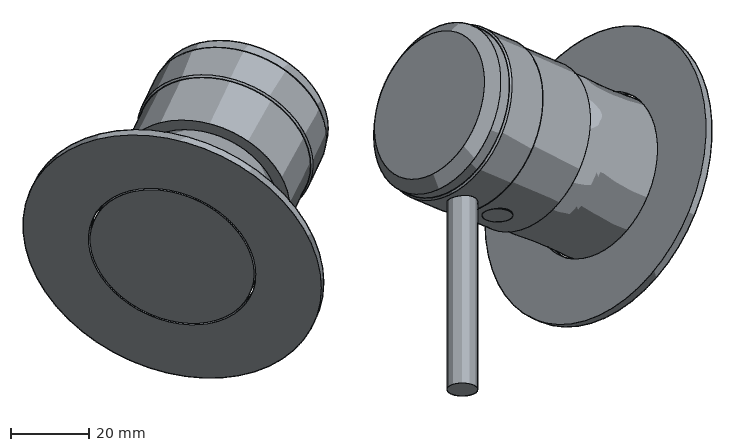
import cadquery as cq


plate_radius = 40.0
plate_thickness = 2.2
plate_hole_radius = 22.4

neck_end_radius = 22.0
waist_radius = 21.6
band_start = 19.3
band_end = 20.3
neck_top_radius = 19.9
dome_mid_radius = 21.3
dome_mid_y = 23.8

head_radius = 23.0
head_start = 27.0
head_end = 62.1
head_chamfer_length = 2.8
head_chamfer_depth = 3.1

collar_radius = 23.6
collar_start = 44.2
collar_end = 56.3
collar_chamfer = 0.5

lever_radius = 4.0
lever_y = (collar_start + collar_end) / 2
overall_height = 116.2
lever_length = overall_height - plate_radius

button_radius = 4.0
button_y = 37.5
button_height = 0.8


def turned_about_y(outline):
    """Turn a closed XY outline, X being the radius, about the Y axis."""
    return outline.close().revolve(360, (0, 0, 0), (0, 1, 0))


def make_plate():
    outer = cq.Workplane("XZ").circle(plate_radius)
    return outer.circle(plate_hole_radius).extrude(-plate_thickness)


def make_neck():
    outline = (
        cq.Workplane("XY")
        .lineTo(neck_end_radius, 0)
        .threePointArc((waist_radius, band_start / 2), (neck_end_radius, band_start))
        .lineTo(neck_end_radius, band_end)
        .threePointArc((dome_mid_radius, dome_mid_y), (neck_top_radius, head_start))
        .lineTo(0, head_start)
    )
    return turned_about_y(outline)


def make_head():
    outline = (
        cq.Workplane("XY")
        .moveTo(0, head_start)
        .lineTo(head_radius, head_start)
        .lineTo(head_radius, head_end - head_chamfer_length)
        .lineTo(head_radius - head_chamfer_depth, head_end)
        .lineTo(0, head_end)
    )
    return turned_about_y(outline)


def make_collar():
    disc = cq.Workplane("XZ", origin=(0, collar_start, 0)).circle(collar_radius)
    return disc.extrude(collar_start - collar_end).edges().chamfer(collar_chamfer)


def make_lever():
    return cq.Workplane("XY", origin=(0, lever_y, 0)).circle(lever_radius).extrude(-lever_length)


def make_button():
    """A round post whose domed end stands just proud of the head."""
    tip = -head_radius - button_height
    dome_radius = (button_radius**2 + button_height**2) / (2 * button_height)
    post = cq.Workplane("XY", origin=(0, button_y, 0)).circle(button_radius).extrude(tip)
    dome = cq.Workplane("XY", origin=(0, button_y, tip + dome_radius)).sphere(dome_radius)
    return post.intersect(dome)


def make_tap():
    tap = make_neck().union(make_head()).union(make_collar())
    return tap.union(make_lever()).union(make_button())


wall_plate = make_plate()
tap = make_tap()

result = cq.Compound.makeCompound([wall_plate.val(), tap.val()])